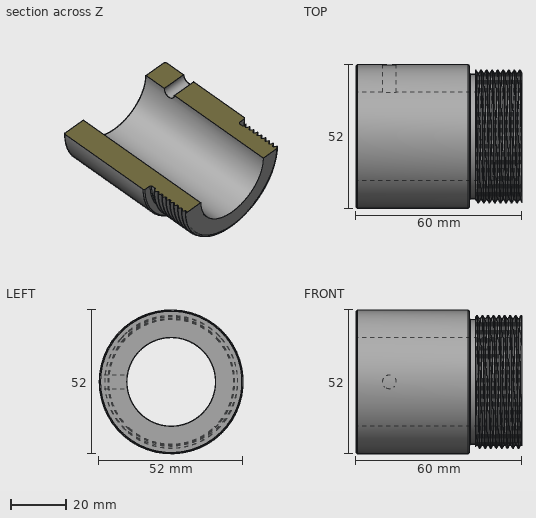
import cadquery as cq
import math

length = 60.0
body_diameter = 52.0
bore_diameter = 32.0
body_length = 41.0
edge_chamfer = 0.5

neck_radius = 22.55
neck_end = 43.2
neck_chamfer = 0.35

pitch = length / 30
thread_radius = 24.0
thread_depth = 1.1
flank_angle = 30.0
crest_width = pitch / 8
thread_crest_on_y = 59.15
root_overlap = 0.1

hole_diameter = 5.0
hole_x = 12.0

body_radius = body_diameter / 2
bore_radius = bore_diameter / 2
root_radius = thread_radius - thread_depth


def cylinder(radius, start, end):
    """Solid cylinder on the X axis between two X positions."""
    return cq.Workplane("YZ", origin=(start, 0, 0)).circle(radius).extrude(end - start)


def make_sleeve():
    """Chamfered body, neck and plain thread core as one turned profile."""
    return (
        cq.Workplane("XY")
        .moveTo(0, 0)
        .lineTo(0, body_radius - edge_chamfer)
        .lineTo(edge_chamfer, body_radius)
        .lineTo(body_length - edge_chamfer, body_radius)
        .lineTo(body_length, body_radius - edge_chamfer)
        .lineTo(body_length, neck_radius + neck_chamfer)
        .lineTo(body_length + neck_chamfer, neck_radius)
        .lineTo(neck_end, neck_radius)
        .lineTo(neck_end, root_radius)
        .lineTo(length, root_radius)
        .lineTo(length, 0)
        .close()
        .revolve(360, (0, 0, 0), (1, 0, 0))
    )


def make_thread():
    """Helical ridge, run past both ends and trimmed to the threaded length."""
    spare_turns = 2
    turns = math.ceil((length - neck_end) / pitch) + spare_turns
    start = thread_crest_on_y + pitch - turns * pitch
    inner_radius = root_radius - root_overlap
    half_crest = crest_width / 2
    half_base = half_crest + (thread_radius - inner_radius) * math.tan(math.radians(flank_angle))

    def helix(radius, offset):
        center = cq.Vector(start + offset, 0, 0)
        wire = cq.Wire.makeHelix(pitch, turns * pitch, radius, center=center, dir=cq.Vector(1, 0, 0))
        return wire.rotate(cq.Vector(0, 0, 0), cq.Vector(1, 0, 0), -90)

    corners = [
        helix(inner_radius, -half_base),
        helix(thread_radius, -half_crest),
        helix(thread_radius, half_crest),
        helix(inner_radius, half_base),
    ]
    faces = [cq.Face.makeRuledSurface(corners[i - 1], corners[i]) for i in range(len(corners))]
    for end_point in (cq.Wire.startPoint, cq.Wire.endPoint):
        outline = cq.Wire.makePolygon([end_point(corner) for corner in corners], close=True)
        faces.append(cq.Face.makeFromWires(outline))
    ridge = cq.Workplane(obj=cq.Solid.makeSolid(cq.Shell.makeShell(faces)))
    envelope_radius = thread_radius + pitch
    return ridge.intersect(cylinder(envelope_radius, neck_end, length))


def make_cross_hole():
    """Radial drill from the axis out through the +Y wall."""
    return (
        cq.Workplane("XZ", origin=(hole_x, 0, 0))
        .circle(hole_diameter / 2)
        .extrude(-body_diameter)
    )


sleeve = make_sleeve().union(make_thread())
result = sleeve.cut(cylinder(bore_radius, 0, length)).cut(make_cross_hole()).solids()